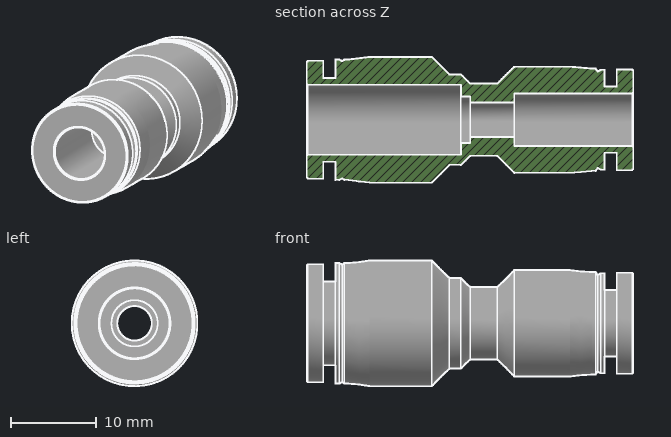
import cadquery as cq

total_length = 38.1

large_flange_radius = 6.9
large_sleeve_radius = 4.9
small_flange_radius = 5.9
small_sleeve_radius = 3.9
flange_width = 1.95
sleeve_gap = 1.4
collar_depth = flange_width + sleeve_gap
edge_break = 0.15

lip_width = 0.45
groove_width = 0.6
groove_bottom_offset = 0.35
groove_depth = 0.2
band_width = 0.45

large_lip_radius = 7.05
large_body_radius = 7.35
large_body_start = 7.35
large_body_end = 14.6
boss_radius = 5.3
boss_end = 18.0

waist_radius = 4.25
waist_end = 22.25

small_lip_radius = 5.85
small_taper_radius = 6.0
small_body_radius = 6.22
small_body_end = 30.7

boss_start = large_body_end + large_body_radius - boss_radius
waist_start = boss_end + boss_radius - waist_radius
small_body_start = waist_end + small_body_radius - waist_radius

passage_radius = 2.0
large_passage_radius = 2.7
large_socket_radius = 4.07
small_socket_radius = 3.05
socket_edge_break = 0.13
large_socket_depth = boss_end
small_socket_depth = total_length - small_body_start


def collar_and_lip(flange_radius, sleeve_radius, lip_radius, band_radius):
    """Profile (distance from the end, radius), from the end face to the start of the taper."""
    groove_start = collar_depth + lip_width
    groove_end = groove_start + groove_width
    groove_bottom = groove_start + groove_bottom_offset
    return [
        (0, 0),
        (0, flange_radius - edge_break),
        (edge_break, flange_radius),
        (flange_width, flange_radius),
        (flange_width, sleeve_radius),
        (collar_depth, sleeve_radius),
        (collar_depth, lip_radius),
        (groove_start, lip_radius),
        (groove_bottom, lip_radius - groove_depth),
        (groove_end, band_radius),
        (groove_end + band_width, band_radius),
    ]


def turned_body():
    large_end = collar_and_lip(large_flange_radius, large_sleeve_radius, large_lip_radius, large_lip_radius)
    middle = [
        (large_body_start, large_body_radius),
        (large_body_end, large_body_radius),
        (boss_start, boss_radius),
        (boss_end, boss_radius),
        (waist_start, waist_radius),
        (waist_end, waist_radius),
        (small_body_start, small_body_radius),
        (small_body_end, small_body_radius),
    ]
    small_end = collar_and_lip(small_flange_radius, small_sleeve_radius, small_lip_radius, small_taper_radius)
    small_end = [(total_length - depth, radius) for depth, radius in reversed(small_end)]
    profile = cq.Workplane("XY").polyline(large_end + middle + small_end).close()
    return profile.revolve(360, (0, 0, 0), (1, 0, 0))


def bore(radius, start, end):
    return cq.Workplane("YZ").workplane(offset=start).circle(radius).extrude(end - start)


def socket(radius, depth):
    """Tube socket opening at X = 0, with a chamfered mouth."""
    profile = [
        (0, 0),
        (0, radius + socket_edge_break),
        (socket_edge_break, radius),
        (depth, radius),
        (depth, 0),
    ]
    return cq.Workplane("XY").polyline(profile).close().revolve(360, (0, 0, 0), (1, 0, 0))


large_socket = socket(large_socket_radius, large_socket_depth)
small_socket = socket(small_socket_radius, small_socket_depth).mirror("YZ").translate((total_length, 0, 0))

result = (
    turned_body()
    .cut(bore(passage_radius, 0, total_length))
    .cut(bore(large_passage_radius, 0, waist_start))
    .cut(large_socket)
    .cut(small_socket)
)